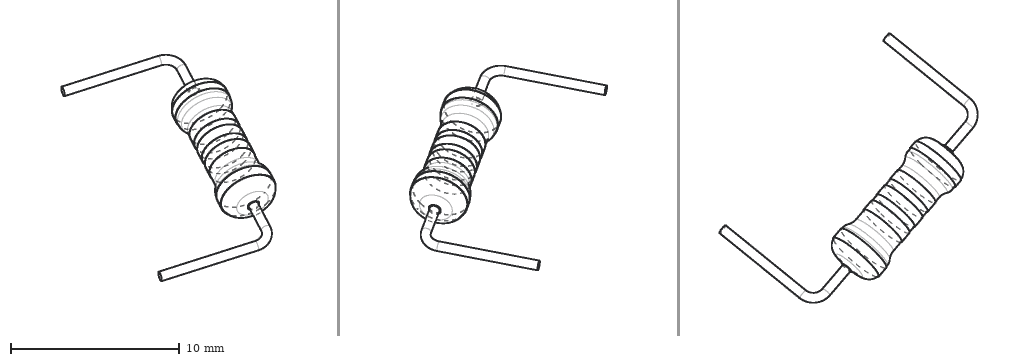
import cadquery as cq
import math

lead_span = 15.84
lead_radius = 0.3
bend_radius = 1.0
lead_end_y = -7.19
leg_x = lead_span / 2 - lead_radius

core_radius = 1.45
cap_radius = 1.75
corner_radius = 0.73
cap_face_x = 4.5
cap_inner_x = 3.01
neck_mid_x = 2.66
neck_end_x = 2.14
tip_x = 4.7
tip_radius = 0.38
tip_flare_sag = 0.05

core_band_radius = 1.49
cap_band_diameter = 3.56
cap_band_radius = cap_band_diameter / 2
band_width = 0.73
band_pitch = 1.2
middle_band_x = -0.19
left_cap_band = (-3.77, -3.25)
right_cap_band = (3.15, 3.86)


def cylinder_along_x(start, end, radius):
    return cq.Workplane("YZ").workplane(offset=start).circle(radius).extrude(end - start)


def half_body():
    """Revolve the +X half: core, S-shaped neck, rounded cap and flared tip."""
    neck_length = cap_inner_x - neck_end_x
    neck_drop = cap_radius - core_radius
    neck_mid_radius = core_radius + neck_drop * (neck_mid_x - neck_end_x) / neck_length
    corner_x = cap_face_x - corner_radius
    face_radius = cap_radius - corner_radius
    diagonal = corner_radius * math.sqrt(0.5)
    profile = (
        cq.Workplane("XY")
        .moveTo(0, 0)
        .lineTo(0, core_radius)
        .lineTo(neck_end_x, core_radius)
        .tangentArcPoint((neck_mid_x, neck_mid_radius), relative=False)
        .tangentArcPoint((cap_inner_x, cap_radius), relative=False)
        .lineTo(corner_x, cap_radius)
        .threePointArc((corner_x + diagonal, face_radius + diagonal), (cap_face_x, face_radius))
        .sagittaArc((tip_x, tip_radius), -tip_flare_sag)
        .lineTo(tip_x, 0)
        .close()
    )
    return profile.revolve(360, (0, 0, 0), (1, 0, 0))


def add_bands(body):
    for step in (-1, 0, 1):
        start = middle_band_x + step * band_pitch - band_width / 2
        body = body.union(cylinder_along_x(start, start + band_width, core_band_radius))
    for start, end in (left_cap_band, right_cap_band):
        body = body.union(cylinder_along_x(start, end, cap_band_radius))
    return body


def lead():
    """Sweep the +X lead from inside the body, round the bend and down its leg."""
    path = (
        cq.Workplane("XY")
        .moveTo(neck_end_x, 0)
        .lineTo(leg_x - bend_radius, 0)
        .tangentArcPoint((leg_x, -bend_radius), relative=False)
        .lineTo(leg_x, lead_end_y)
    )
    return cq.Workplane("YZ").workplane(offset=neck_end_x).circle(lead_radius).sweep(path)


right_half = half_body().union(lead())
result = add_bands(right_half.union(right_half.mirror("YZ")))